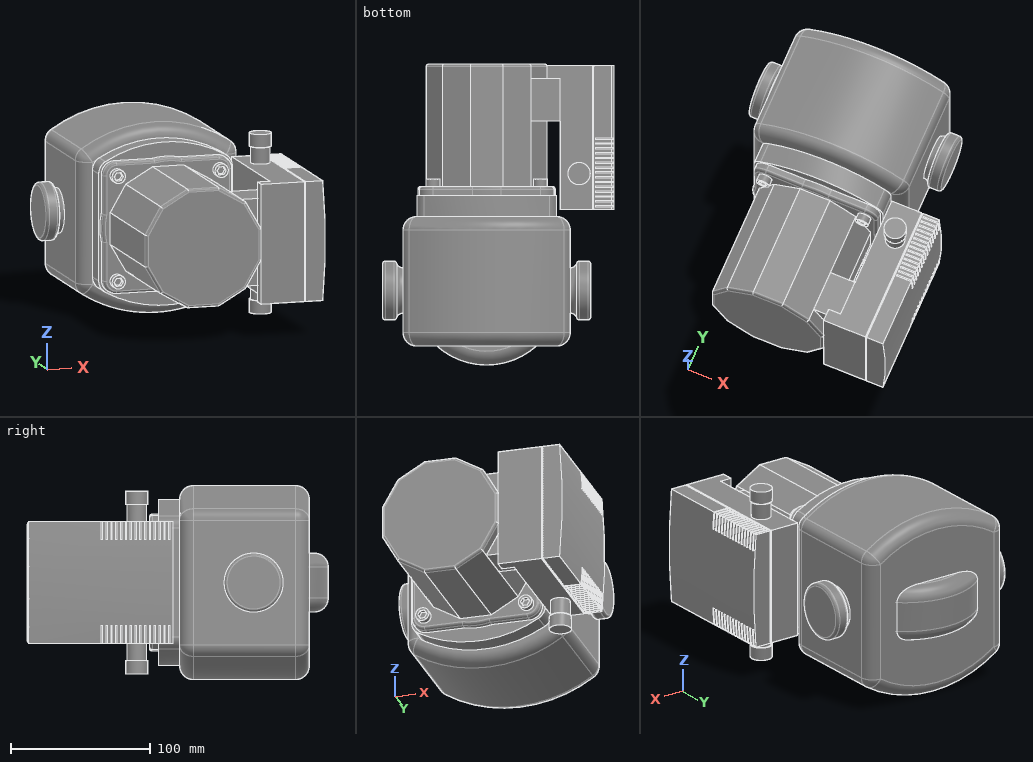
import cadquery as cq
import math


overall_length = 216.5

volute_radius = 53.7
volute_edge_radius = 10.0
pipe_half_length = 75.0
stub_radius = 21.2
stub_flange_thickness = 10.5
stub_edge_radius = 2.2
stub_neck_radius = 16.5

shell_half_width = 60.2
shell_height = 139.7
shell_arc_radius = 101.1
shell_back = 40.0
shell_front = -53.3
shell_edge_radius = 10.0
collar_inset = 10.0
collar_front = -68.5

plate_half_side = 48.3
plate_bulge_radius = 49.4
plate_thickness = 6.5
plate_front = collar_front - plate_thickness
plate_edge_radius = 2.2
can_sides = 12
can_apothem = 43.5
can_front = volute_radius - overall_length
can_edge_radius = 2.0

screw_spacing = 77.3
screw_head_radius = 5.0
screw_head_height = 5.2
socket_sides = 6
socket_across_corners = 6.7
socket_depth = 4.0
plate_corner_radius = plate_half_side - screw_spacing / 2

module_inner_x = 52.8
module_side_x = 89.9
module_outer_x = 91.8
module_half_height = 44.0
module_back = -58.0
module_front = -161.8
lip_back = -152.5
neck_back = -121.7
groove_x = 76.2
groove_width = 0.75
groove_depth = 0.9

slot_count = 15
slot_pitch = 3.5
slot_width = 0.97
slot_depth = 13.0
slot_inner_x = 78.5
first_slot_y = -60.6

gland_x = 66.5
gland_y = -84.0
gland_stem_radius = 7.1
gland_cap_radius = 8.0
gland_cap_bottom = 56.0
gland_top = 65.8


def box_between(x_range, y_range, z_range):
    """Box that spans the given (low, high) ranges."""
    size = [high - low for low, high in (x_range, y_range, z_range)]
    return cq.Workplane("XY").box(*size, centered=False).translate((x_range[0], y_range[0], z_range[0]))


def along_y(outline_at, back, front):
    """Extrude the outline drawn by outline_at on an XZ plane from back towards -Y, ending at front."""
    plane = cq.Workplane("XZ", origin=(0, back, 0))
    return outline_at(plane).extrude(back - front)


def make_pump():
    volute = cq.Workplane("XY").circle(volute_radius).extrude(stub_radius, both=True)
    volute = volute.edges().fillet(volute_edge_radius)
    flange_x = pipe_half_length - stub_flange_thickness
    stub_flange = (
        cq.Workplane("YZ", origin=(flange_x, 0, 0))
        .circle(stub_radius)
        .extrude(stub_flange_thickness)
        .edges()
        .fillet(stub_edge_radius)
    )
    stub_neck = (
        cq.Workplane("XY")
        .lineTo(0, stub_neck_radius)
        .lineTo(shell_half_width, stub_neck_radius)
        .tangentArcPoint((flange_x, stub_radius - stub_edge_radius), relative=False)
        .lineTo(flange_x, 0)
        .close()
        .revolve(360, (0, 0, 0), (1, 0, 0))
    )
    stub = stub_flange.union(stub_neck)
    return volute.union(stub).union(stub.mirror("YZ"))


def barrel_block(inset, back, front):
    """Block with flat sides and arched top and bottom, its outline moved in by inset."""
    half_width = shell_half_width - inset
    half_height = shell_height / 2 - inset
    arc_radius = shell_arc_radius - inset
    corner_z = half_height - arc_radius + math.sqrt(arc_radius**2 - half_width**2)

    def outline(plane):
        return (
            plane.moveTo(-half_width, -corner_z)
            .lineTo(-half_width, corner_z)
            .threePointArc((0, half_height), (half_width, corner_z))
            .lineTo(half_width, -corner_z)
            .threePointArc((0, -half_height), (-half_width, -corner_z))
            .close()
        )

    return along_y(outline, back, front)


def make_shell(pump):
    body = barrel_block(0, shell_back, shell_front).edges().fillet(shell_edge_radius)
    collar = barrel_block(collar_inset, 0, collar_front).edges("|Y").fillet(shell_edge_radius)
    return body.union(collar).cut(pump)


def can_prism():
    """Twelve-sided prism with flats facing X and Z, from the plate to the front of the can."""
    corner_diameter = 2 * can_apothem / math.cos(math.pi / can_sides)
    prism = along_y(lambda plane: plane.polygon(can_sides, corner_diameter), plate_front, can_front)
    return prism.rotate((0, 0, 0), (0, 1, 0), 180 / can_sides)


def make_motor():
    side = 2 * plate_half_side
    plate = along_y(lambda plane: plane.rect(side, side), collar_front, plate_front)
    plate = plate.edges("|Y").fillet(plate_corner_radius)
    bulges = along_y(lambda plane: plane.circle(plate_bulge_radius), collar_front, plate_front)
    plate = plate.union(bulges).faces("<Y").edges().fillet(plate_edge_radius)
    can = can_prism().faces("<Y").edges().fillet(can_edge_radius)
    return plate.union(can)


def make_screw(x, z):
    head = cq.Workplane("XZ", origin=(x, plate_front, z)).circle(screw_head_radius).extrude(screw_head_height)
    return head.faces("<Y").workplane().polygon(socket_sides, socket_across_corners).cutBlind(-socket_depth)


def module_housing():
    """Box with a gently curved outer face."""

    def outline(plane):
        return (
            plane.moveTo(module_inner_x, -module_half_height)
            .lineTo(module_side_x, -module_half_height)
            .threePointArc((module_outer_x, 0), (module_side_x, module_half_height))
            .lineTo(module_inner_x, module_half_height)
            .close()
        )

    return along_y(outline, module_back, module_front)


def parting_groove():
    """Narrow ring that runs around the module where its cover begins."""
    x_range = (groove_x, groove_x + groove_width)
    outer = box_between(x_range, (module_front, module_back), (-module_half_height, module_half_height))
    core = box_between(
        x_range,
        (module_front + groove_depth, module_back - groove_depth),
        (groove_depth - module_half_height, module_half_height - groove_depth),
    )
    return outer.cut(core)


def make_gland():
    plane = cq.Workplane("XY", origin=(gland_x, gland_y, module_half_height))
    stem = plane.circle(gland_stem_radius).extrude(gland_cap_bottom - module_half_height)
    return stem.faces(">Z").workplane().circle(gland_cap_radius).extrude(gland_top - gland_cap_bottom)


def make_module():
    module = module_housing().cut(parting_groove())

    slot_floor = module_half_height - slot_depth
    for index in range(slot_count):
        slot_y = first_slot_y - index * slot_pitch
        slot = box_between(
            (slot_inner_x, module_outer_x),
            (slot_y - slot_width / 2, slot_y + slot_width / 2),
            (slot_floor, module_half_height),
        )
        module = module.cut(slot).cut(slot.mirror("XY"))

    gland = make_gland()
    module = module.union(gland).union(gland.mirror("XY"))

    lip = box_between(
        (can_apothem, module_inner_x), (module_front, lip_back), (-module_half_height, module_half_height)
    )
    corner_offset = can_apothem / math.cos(math.pi / can_sides) * math.cos(math.pi / 4)
    neck = box_between(
        (corner_offset, module_inner_x), (lip_back, neck_back), (-corner_offset, corner_offset)
    )
    return module.union(lip).union(neck.cut(can_prism()))


pump = make_pump()
shell = make_shell(pump)
motor = make_motor()
module = make_module()

screw_offset = screw_spacing / 2
screws = []
for x in (-screw_offset, screw_offset):
    for z in (-screw_offset, screw_offset):
        screws.append(make_screw(x, z).val())

bodies = [body.solids().val() for body in (pump, shell, motor, module)]
result = cq.Compound.makeCompound([*bodies, *screws])